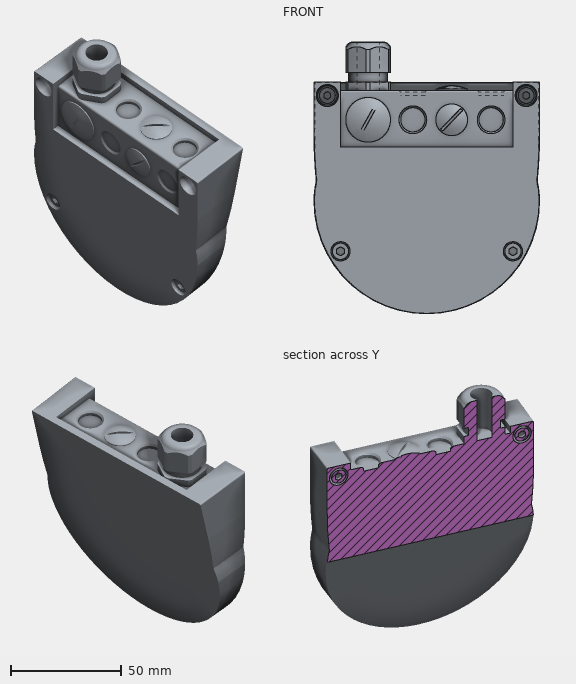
import cadquery as cq
import math


half_width = 51.16
body_height = 105.2
body_depth = 30.49
bottom_depth = 6.8
draft_angle = 0.8
back_inset = body_depth * math.tan(math.radians(draft_angle))
waist_half_width = 50.1
waist_z = 60.1
straight_side_end_z = 80.9
corner_fillet = 0.7

recess_half_width = 39.2
recess_floor_z = 75.5
recess_back_y = 26.8
block_front_y = 3.2
block_top_z = 101.3
block_edge_fillet = 1.0

large_station_x = -26.6
left_port_x = -6.3
small_plug_x = 11.3
right_port_x = 29.2
front_row_z = 87.95
top_row_y = 14.75

plug_rim_height = 0.5
slot_width = 1.3
large_plug_radius = 10.15
large_plug_height = 2.75
large_slot_length = 10.2
large_slot_angle = 61
small_plug_radius = 7.2
small_plug_height = 2.15
small_slot_length = 13.1
small_slot_angle = 46

port_mouth_radius = 6.3
port_radius = 5.5
port_chamfer = port_mouth_radius - port_radius
top_port_depth = 2.4

gland_y = 15.4
gland_height = 123.2
gland_across_flats = 20.2
gland_corner_radius = 11.15
gland_lower_nut_top_z = body_height
gland_cap_bottom_z = 109.3
gland_neck_radius = 8.8
gland_cap_chamfer_z = 119.9
gland_dome_base_z = 121.5
gland_dome_radius = 9.7
gland_top_radius = 6.9
gland_bore_radius = 5.1

socket_depth = 1.5
screw_head_height = 2.0
lower_screw_x = 39.1
lower_screw_z = 28.3
lower_recess_radius = 4.35
lower_recess_depth = 3.4
lower_head_radius = 3.7
lower_socket_across_flats = 3.5
upper_screw_x = 45.1
upper_screw_z = 98.96
upper_recess_radius = 5.0
upper_recess_floor_radius = 4.4
upper_recess_depth = 20.0
upper_head_radius = 3.6
upper_socket_across_flats = 3.1



def front_plane(x, y, z):
    """Plane on the front side of the part, with its normal pointing outward (-Y)."""
    return cq.Plane(origin=(x, y, z), xDir=(1, 0, 0), normal=(0, -1, 0))


def top_plane(x, y, z):
    """Plane on the top side of the part, with its normal pointing up."""
    return cq.Plane(origin=(x, y, z), xDir=(1, 0, 0), normal=(0, 0, 1))


def revolve_profile(profile):
    """Turn a half profile, drawn as (radius, height), into a solid about Z."""
    return profile.close().revolve(360, (0, 0, 0), (0, 1, 0))


def place(shape, plane):
    """Move a shape built about the Z axis onto a plane, with Z along its normal."""
    return cq.Workplane(obj=shape.val().moved(cq.Location(plane)))


def cone_frustum(base_radius, end_radius, height):
    profile = (
        cq.Workplane("XZ")
        .lineTo(base_radius, 0)
        .lineTo(end_radius, height)
        .lineTo(0, height)
    )
    return revolve_profile(profile)


def hexagon_prism(across_flats, height):
    """Hexagonal prism with two of its corners on the Y axis."""
    across_corners = across_flats / math.cos(math.radians(30))
    prism = cq.Workplane("XY").polygon(6, across_corners).extrude(height)
    return prism.rotate((0, 0, 0), (0, 0, 1), 30)




def arc_middle(start, end, bulge):
    """Middle point of an arc in the right half, moved outward in X by its bulge."""
    return ((start[0] + end[0]) / 2 + bulge, (start[1] + end[1]) / 2)


def outline(y, inset):
    """Closed outline of the housing at depth y, drawn in from the front outline by inset."""
    waist_step = half_width - waist_half_width
    bulge = waist_step / 4
    top_z = body_height - inset
    side_x = half_width - inset
    side_end = (side_x, straight_side_end_z)
    waist = (waist_half_width - inset, waist_z)
    round_start = (side_x, half_width)
    upper_mid = arc_middle(side_end, waist, bulge)
    lower_mid = arc_middle(waist, round_start, bulge)

    def mirrored(point):
        return (-point[0], point[1])

    return (
        cq.Workplane("XZ", origin=(0, y, 0))
        .moveTo(-side_x, top_z)
        .lineTo(side_x, top_z)
        .lineTo(*side_end)
        .threePointArc(upper_mid, waist)
        .threePointArc(lower_mid, round_start)
        .threePointArc((0, inset), mirrored(round_start))
        .threePointArc(mirrored(lower_mid), mirrored(waist))
        .threePointArc(mirrored(upper_mid), mirrored(side_end))
        .close()
        .val()
    )


def make_body():
    """Drafted housing of full depth, with rounded upper side edges."""
    front_outline = outline(0, 0)
    back_outline = outline(body_depth, back_inset)
    body = cq.Workplane(obj=cq.Solid.makeLoft([front_outline, back_outline], True))
    for side in (-1, 1):
        corner_point = (side * half_width, body_depth / 2, body_height)
        body = body.edges(cq.NearestToPointSelector(corner_point)).fillet(corner_fillet)

    return body


def cut_sloped_back(body):
    behind_slope = (
        cq.Workplane("YZ")
        .moveTo(bottom_depth, 0)
        .lineTo(body_depth, body_height - back_inset)
        .lineTo(2 * body_depth, body_height)
        .lineTo(2 * body_depth, -body_height)
        .lineTo(bottom_depth, -body_height)
        .close()
        .extrude(half_width, both=True)
    )
    return body.cut(behind_slope)


def recess_box(front_y, top_z):
    """Box as wide as the recess, from its floor up to top_z and from front_y to its back wall."""
    width = 2 * recess_half_width
    depth = recess_back_y - front_y
    corner = (-recess_half_width, front_y, recess_floor_z)
    return cq.Workplane("XY", origin=corner).box(width, depth, top_z - recess_floor_z, centered=False)


def cut_terminal_recess(body):
    recess = recess_box(0, body_height)
    block = recess_box(block_front_y, block_top_z)
    block = block.edges("<Y and >Z").fillet(block_edge_fillet)
    return body.cut(recess).union(block)




def make_plug(radius, height, slot_length, slot_angle):
    """Domed plug whose flat-bottomed slot runs out through the dome surface."""
    dome_height = height - plug_rim_height
    dome_radius = (radius**2 + dome_height**2) / (2 * dome_height)
    dome_center_z = height - dome_radius

    def dome_z(r):
        return dome_center_z + math.sqrt(dome_radius**2 - r**2)

    profile = (
        cq.Workplane("XZ")
        .lineTo(radius, 0)
        .lineTo(radius, plug_rim_height)
        .threePointArc((radius / 2, dome_z(radius / 2)), (0, height))
    )
    slot = (
        cq.Workplane("XY", origin=(0, 0, dome_z(slot_length / 2)))
        .rect(2 * radius, slot_width)
        .extrude(height)
        .rotate((0, 0, 0), (0, 0, 1), slot_angle)
    )
    return revolve_profile(profile).cut(slot)


def make_gland():
    """Cable gland standing on z = 0, made of two hexagons joined by a round neck."""
    nut_height = gland_lower_nut_top_z - block_top_z
    cap_start = gland_cap_bottom_z - block_top_z
    chamfer_start = gland_cap_chamfer_z - block_top_z
    dome_start = gland_dome_base_z - block_top_z
    total_height = gland_height - block_top_z
    dome_width = gland_dome_radius - gland_top_radius
    dome_drop = total_height - dome_start
    shoulder_radius = (dome_width**2 + dome_drop**2) / (2 * dome_drop)
    half_sweep = math.asin(dome_width / shoulder_radius) / 2
    dome_mid_radius = gland_top_radius + shoulder_radius * math.sin(half_sweep)
    dome_mid_height = total_height - shoulder_radius * (1 - math.cos(half_sweep))

    turned_shape = revolve_profile(
        cq.Workplane("XZ")
        .lineTo(gland_corner_radius, 0)
        .lineTo(gland_corner_radius, nut_height)
        .lineTo(gland_neck_radius, nut_height)
        .lineTo(gland_neck_radius, cap_start)
        .lineTo(gland_corner_radius, cap_start)
        .lineTo(gland_corner_radius, chamfer_start)
        .lineTo(gland_dome_radius, dome_start)
        .threePointArc((dome_mid_radius, dome_mid_height), (gland_top_radius, total_height))
        .lineTo(0, total_height)
    )
    bore = cq.Workplane("XY").circle(gland_bore_radius).extrude(total_height)
    return turned_shape.intersect(hexagon_prism(gland_across_flats, total_height)).cut(bore)


def add_fittings(body):
    large_plug = make_plug(large_plug_radius, large_plug_height, large_slot_length, large_slot_angle)
    small_plug = make_plug(small_plug_radius, small_plug_height, small_slot_length, small_slot_angle)
    body = body.union(place(large_plug, front_plane(large_station_x, block_front_y, front_row_z)))
    body = body.union(place(small_plug, front_plane(small_plug_x, block_front_y, front_row_z)))
    body = body.union(place(small_plug, top_plane(small_plug_x, top_row_y, block_top_z)))
    return body.union(place(make_gland(), top_plane(large_station_x, gland_y, block_top_z)))


def cut_ports(body):
    port_mouth = cone_frustum(port_mouth_radius, port_radius, -port_chamfer)
    port_bore = cq.Workplane("XY").circle(port_radius).extrude(-top_port_depth)
    for x in (left_port_x, right_port_x):
        front_port = front_plane(x, block_front_y, front_row_z)
        top_port = top_plane(x, top_row_y, block_top_z)
        body = body.cut(place(port_mouth, front_port))
        body = body.cut(place(port_mouth, top_port))
        body = body.cut(place(port_bore, top_port))
    return body




def screw_clearance(recess, recess_depth, head_radius, socket_across_flats):
    """Space left open by a socket-head screw standing on the floor of its recess."""
    head = cq.Workplane("XY", origin=(0, 0, -recess_depth)).circle(head_radius).extrude(screw_head_height)
    socket_floor_z = screw_head_height - recess_depth - socket_depth
    socket = hexagon_prism(socket_across_flats, socket_depth).translate((0, 0, socket_floor_z))
    return recess.cut(head.cut(socket))


def cut_screw_pair(body, clearance, x, z):
    for side in (-1, 1):
        body = body.cut(place(clearance, front_plane(side * x, 0, z)))
    return body


def cut_lower_screws(body):
    """Shallow cylindrical recesses."""
    recess = cq.Workplane("XY").circle(lower_recess_radius).extrude(-lower_recess_depth)
    clearance = screw_clearance(recess, lower_recess_depth, lower_head_radius, lower_socket_across_flats)
    return cut_screw_pair(body, clearance, lower_screw_x, lower_screw_z)


def cut_upper_screws(body):
    """Deep tapered recesses."""
    recess = cone_frustum(upper_recess_radius, upper_recess_floor_radius, -upper_recess_depth)
    clearance = screw_clearance(recess, upper_recess_depth, upper_head_radius, upper_socket_across_flats)
    return cut_screw_pair(body, clearance, upper_screw_x, upper_screw_z)



housing = cut_sloped_back(cut_terminal_recess(make_body()))
housing = cut_ports(add_fittings(housing))
housing = cut_lower_screws(housing)
result = cut_upper_screws(housing)